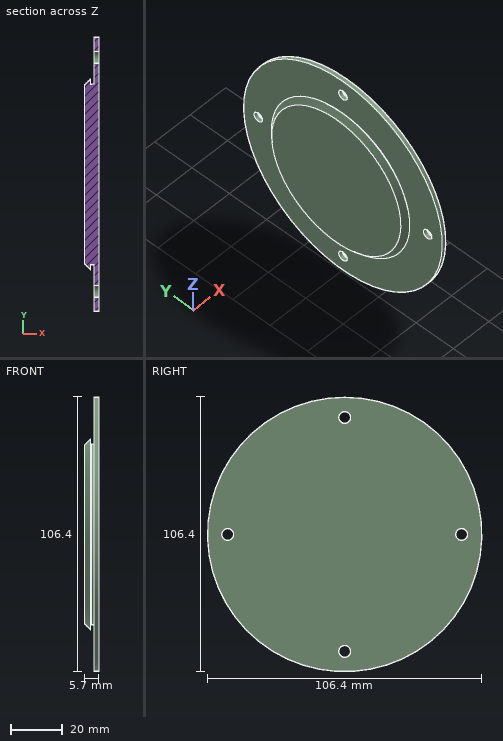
import cadquery as cq

flange_diameter = 106.4
flange_thickness = 2.0
total_thickness = 5.7

neck_diameter = 70.2
undercut_diameter = 70.0
undercut_width = 0.27
head_base_diameter = 74.1
head_face_diameter = 69.2
head_height = 2.5

hole_diameter = 4.5
hole_circle_diameter = 90.7
hole_count = 4

back_x = total_thickness / 2
flange_front_x = back_x - flange_thickness
head_face_x = -total_thickness / 2
head_base_x = head_face_x + head_height
undercut_end_x = head_base_x + undercut_width


def revolved_body():
    """Revolve the half section of flange, neck, undercut and head about the X axis."""
    half_section = (
        cq.Workplane("XZ")
        .moveTo(back_x, 0)
        .lineTo(back_x, flange_diameter / 2)
        .lineTo(flange_front_x, flange_diameter / 2)
        .lineTo(flange_front_x, neck_diameter / 2)
        .lineTo(undercut_end_x, neck_diameter / 2)
        .lineTo(undercut_end_x, undercut_diameter / 2)
        .lineTo(head_base_x, undercut_diameter / 2)
        .lineTo(head_base_x, head_base_diameter / 2)
        .lineTo(head_face_x, head_face_diameter / 2)
        .lineTo(head_face_x, 0)
        .close()
    )
    return half_section.revolve(360, (0, 0, 0), (1, 0, 0))


def mounting_holes():
    """Through-hole cutters on the Y and Z axes of the flange."""
    return (
        cq.Workplane("YZ", origin=(head_face_x, 0, 0))
        .polarArray(hole_circle_diameter / 2, 0, 360, hole_count)
        .circle(hole_diameter / 2)
        .extrude(total_thickness)
    )


result = revolved_body().cut(mounting_holes())